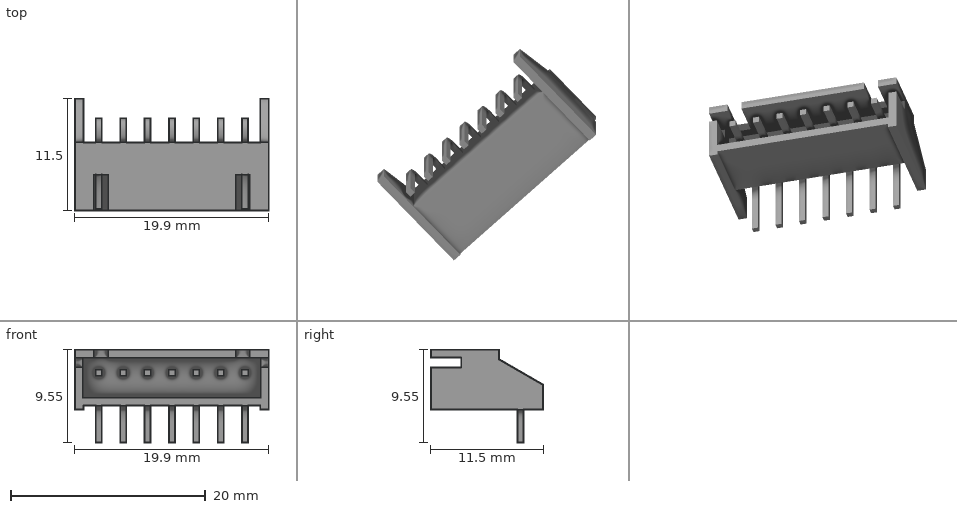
import cadquery as cq
import math

width = 19.9
depth = 11.5
body_depth = 7.0
height = 6.15

wall_thickness = 0.82
cavity_depth = 4.7

rail_width = 0.9
floor_clearance = 0.4
wing_shoulder_drop = 1.0
wing_slope = math.radians(30)

roof_notch_offset = 1.95
roof_notch_width = 1.47
roof_notch_depth = 3.7
side_notch_height = 1.0
side_notch_depth = 3.1

pin_count = 7
pin_row_span = 15.0
pin_pitch = pin_row_span / (pin_count - 1)
pin_size = 0.64
pin_tip_recess = 0.2
pin_back = 9.51
pin_length_below = 3.4
pin_axis_drop = 2.37
bend_inner_radius = pin_size
bend_outer_radius = bend_inner_radius + pin_size

half_width = width / 2
roof_underside = height - wall_thickness
cavity_bottom = floor_clearance + wall_thickness


def block(x_min, x_max, y_min, y_max, z_min, z_max):
    """Axis-aligned box between two corners."""
    size = (x_max - x_min, y_max - y_min, z_max - z_min)
    return cq.Workplane("XY").box(*size, centered=False).translate((x_min, y_min, z_min))


def side_rail(x_start):
    """Full-depth side plate whose rear part slopes down behind the body."""
    shoulder_z = height - wing_shoulder_drop
    rear_z = shoulder_z - (depth - body_depth) * math.tan(wing_slope)
    outline = [
        (0, 0),
        (depth, 0),
        (depth, rear_z),
        (body_depth, shoulder_z),
        (body_depth, height),
        (0, height),
    ]
    return cq.Workplane("YZ", origin=(x_start, 0, 0)).polyline(outline).close().extrude(rail_width)


def housing():
    """Open-fronted shroud with side rails, roof notches and side notches."""
    body = block(-half_width, half_width, 0, body_depth, floor_clearance, height)
    body = body.union(side_rail(-half_width)).union(side_rail(half_width - rail_width))
    cavity_half = half_width - wall_thickness
    body = body.cut(block(-cavity_half, cavity_half, 0, cavity_depth, cavity_bottom, roof_underside))

    side_notch_bottom = roof_underside - side_notch_height
    body = body.cut(
        block(-half_width, half_width, 0, side_notch_depth, side_notch_bottom, roof_underside)
    )

    notch_outer = half_width - roof_notch_offset
    notch_inner = notch_outer - roof_notch_width
    for x_min, x_max in ((-notch_outer, -notch_inner), (notch_inner, notch_outer)):
        body = body.cut(block(x_min, x_max, 0, roof_notch_depth, roof_underside, height))
    return body


def pin(x_center):
    """Square pin running back through the housing and bent down behind the body."""
    top = height - pin_axis_drop + pin_size / 2
    bottom = top - pin_size
    bend_y = pin_back - bend_outer_radius
    bend_z = top - bend_outer_radius
    diagonal = math.sqrt(0.5)
    outer_mid = (bend_y + bend_outer_radius * diagonal, bend_z + bend_outer_radius * diagonal)
    inner_mid = (bend_y + bend_inner_radius * diagonal, bend_z + bend_inner_radius * diagonal)
    return (
        cq.Workplane("YZ", origin=(x_center - pin_size / 2, 0, 0))
        .moveTo(pin_tip_recess, top)
        .lineTo(bend_y, top)
        .threePointArc(outer_mid, (pin_back, bend_z))
        .lineTo(pin_back, -pin_length_below)
        .lineTo(pin_back - pin_size, -pin_length_below)
        .lineTo(pin_back - pin_size, bend_z)
        .threePointArc(inner_mid, (bend_y, bottom))
        .lineTo(pin_tip_recess, bottom)
        .close()
        .extrude(pin_size)
    )


result = housing()
for index in range(pin_count):
    result = result.union(pin(-pin_row_span / 2 + index * pin_pitch))